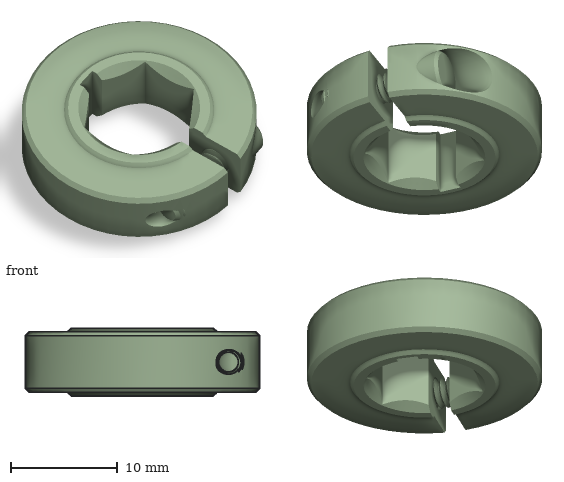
import cadquery as cq
import math

collar_radius = 11.0
collar_edge_chamfer = 0.4
overall_height = 6.35
hub_height = 0.33
hub_base_radius = 7.01
hub_top_radius = 6.64
ring_height = overall_height - 2 * hub_height

hex_across_flats = 9.72
lead_in_radius = 5.7
lead_in_angle = 45.0

slit_width = 2.02
notch_reach = 6.13

screw_x = 8.02
head_top_y = 5.75
head_radius = 2.33
head_height = 2.85
head_chamfer = 0.29
head_seat_y = head_top_y - head_height
tip_y = -6.6
tip_radius = 0.92
shank_length = head_seat_y - tip_y

thread_pitch = 0.64
thread_major_radius = 1.43
thread_root_radius = 1.01
thread_flat_width = 0.07
first_crest_height = 0.2
flank_points = 4

clearance_hole_radius = 1.54
mouth_radius = 1.15


def y_cylinder(radius, start_y, end_y):
    """Cylinder on the screw axis between two Y positions."""
    start = cq.Vector(screw_x, start_y, 0)
    return cq.Workplane(cq.Solid.makeCylinder(radius, end_y - start_y, start, cq.Vector(0, 1, 0)))


def make_thread_section():
    """Cross-section of the threaded shank: crest and root arcs joined by two spiral flanks."""
    half_flat = math.pi * thread_flat_width / thread_pitch
    flank_angle = math.pi - 2 * half_flat
    depth = thread_major_radius - thread_root_radius

    def polar(radius, angle):
        return (radius * math.cos(angle), radius * math.sin(angle))

    falling_flank = [
        polar(thread_major_radius - depth * i / flank_points, half_flat + flank_angle * i / flank_points)
        for i in range(flank_points + 1)
    ]
    rising_flank = [(x, -y) for x, y in reversed(falling_flank)]
    return (
        cq.Workplane("XY")
        .moveTo(*rising_flank[-1])
        .threePointArc((thread_major_radius, 0), falling_flank[0])
        .spline(falling_flank[1:], includeCurrent=True)
        .threePointArc((-thread_root_radius, 0), rising_flank[0])
        .spline(rising_flank[1:], includeCurrent=True)
        .close()
    )


def make_threaded_shank():
    """Shank twisted up along its axis, with a 45 degree chamfer at the tip."""
    turn_per_length = 360 / thread_pitch
    thread = (
        make_thread_section()
        .twistExtrude(shank_length, turn_per_length * shank_length)
        .rotate((0, 0, 0), (0, 0, 1), -turn_per_length * first_crest_height)
        .rotate((0, 0, 0), (1, 0, 0), -90)
        .translate((screw_x, tip_y, 0))
    )
    envelope_radius = clearance_hole_radius
    envelope = y_cylinder(envelope_radius, tip_y, head_seat_y)
    envelope = envelope.faces("<Y").chamfer(envelope_radius - tip_radius)
    return thread.intersect(envelope)


def make_screw():
    head = y_cylinder(head_radius, head_seat_y, head_top_y).faces(">Y").chamfer(head_chamfer)
    return make_threaded_shank().union(head)


def make_collar_blank():
    """Turned ring with chamfered rims and a tapered hub on both faces."""
    half_ring = ring_height / 2
    half_overall = overall_height / 2
    rim_z = half_ring - collar_edge_chamfer
    rim_radius = collar_radius - collar_edge_chamfer
    upper_profile = [
        (collar_radius, rim_z),
        (rim_radius, half_ring),
        (hub_base_radius, half_ring),
        (hub_top_radius, half_overall),
        (0, half_overall),
    ]
    lower_profile = [(radius, -z) for radius, z in reversed(upper_profile)]
    return cq.Workplane("XZ").polyline(upper_profile + lower_profile).close().revolve(360, (0, 0), (0, 1))


def cut_bore(collar):
    """Hexagonal bore with two flats facing Y and a cone at each end."""
    hex_across_corners = hex_across_flats / math.cos(math.pi / 6)
    collar = collar.cut(cq.Workplane("XY").polygon(6, hex_across_corners).extrude(overall_height, both=True))
    cone_height = lead_in_radius / math.tan(math.radians(lead_in_angle))
    end_z = overall_height / 2
    for side in (1, -1):
        cone = cq.Solid.makeCone(
            lead_in_radius, 0, cone_height, cq.Vector(0, 0, side * end_z), cq.Vector(0, 0, -side)
        )
        collar = collar.cut(cq.Workplane(cone))
    return collar


def cut_slit(collar):
    slit_length = collar_radius + notch_reach
    slit = cq.Workplane("XY").box(slit_length, slit_width, overall_height, centered=(False, True, True))
    return collar.cut(slit.translate((-notch_reach, 0, 0)))


def cut_screw_seat(collar, screw):
    """Counterbore and clearance hole on the +Y side, mating thread and open mouth on the -Y side."""
    counterbore = y_cylinder(head_radius, head_seat_y, collar_radius)
    clearance_hole = y_cylinder(clearance_hole_radius, 0, head_seat_y)
    mouth = y_cylinder(mouth_radius, -collar_radius, tip_y + mouth_radius - tip_radius)
    return collar.cut(counterbore).cut(clearance_hole).cut(mouth).cut(screw)


screw = make_screw()
collar = cut_screw_seat(cut_slit(cut_bore(make_collar_blank())), screw)

result = cq.Compound.makeCompound([collar.val(), screw.val()])